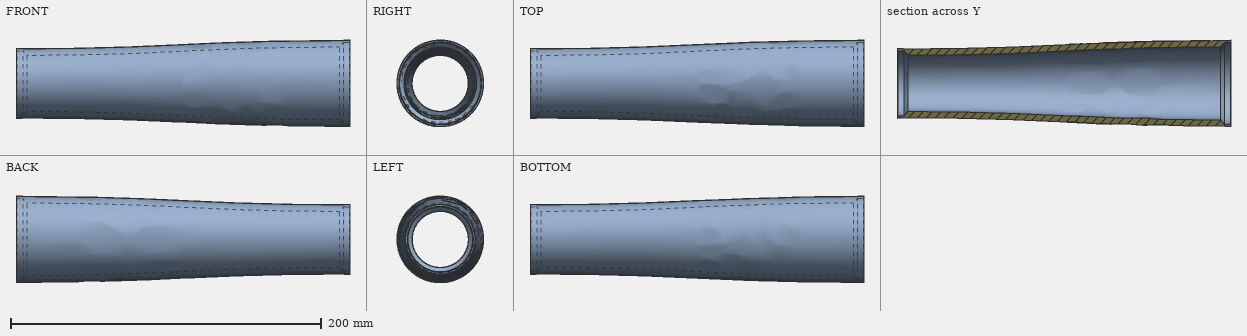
import cadquery as cq
import math

length = 215.0
small_radius = 22.4
large_radius = 27.7
wall = 4.3

collar_length = 3.5
bevel_length = 0.9
small_collar_radius = 22.5
large_collar_radius = 28.0

rim_width = 1.3
mouth_chamfer = 0.5
socket_depth = 4.3
cone_length = 2.5
land_length = 3.5

body_start = collar_length + bevel_length
body_end = length - body_start
land_start = socket_depth + cone_length
bore_inset = land_start + land_length


def s_curve(profile, start, end):
    """Add two equal tangent arcs that leave and arrive parallel to the axis."""
    run = (end[0] - start[0]) / 2
    rise = (end[1] - start[1]) / 2
    sweep = 2 * math.atan2(abs(rise), abs(run))
    half_run = abs(run) * math.sin(sweep / 2) / math.sin(sweep)
    half_rise = abs(rise) * (1 - math.cos(sweep / 2)) / (1 - math.cos(sweep))
    dx = math.copysign(half_run, run)
    dr = math.copysign(half_rise, rise)
    center = (start[0] + run, start[1] + rise)
    profile = profile.threePointArc((start[0] + dx, start[1] + dr), center)
    return profile.threePointArc((end[0] - dx, end[1] - dr), end)


def outer_body():
    profile = (
        cq.Workplane("XY")
        .moveTo(0, 0)
        .lineTo(0, small_collar_radius)
        .lineTo(collar_length, small_collar_radius)
        .lineTo(body_start, small_radius)
    )
    profile = s_curve(profile, (body_start, small_radius), (body_end, large_radius))
    profile = (
        profile.lineTo(length - collar_length, large_collar_radius)
        .lineTo(length, large_collar_radius)
        .lineTo(length, 0)
        .close()
    )
    return profile.revolve(360, (0, 0), (1, 0))


def inner_void():
    """Bore parallel to the outer wall, with a socket in each end."""
    small_socket = small_collar_radius - rim_width - mouth_chamfer
    large_socket = large_collar_radius - rim_width - mouth_chamfer
    bore_start = (bore_inset, small_radius - wall)
    bore_end = (length - bore_inset, large_radius - wall)
    profile = (
        cq.Workplane("XY")
        .moveTo(0, 0)
        .lineTo(0, small_socket + mouth_chamfer)
        .lineTo(mouth_chamfer, small_socket)
        .lineTo(socket_depth, small_socket)
        .lineTo(land_start, small_radius - wall)
        .lineTo(*bore_start)
    )
    profile = s_curve(profile, bore_start, bore_end)
    profile = (
        profile.lineTo(length - land_start, large_radius - wall)
        .lineTo(length - socket_depth, large_socket)
        .lineTo(length - mouth_chamfer, large_socket)
        .lineTo(length, large_socket + mouth_chamfer)
        .lineTo(length, 0)
        .close()
    )
    return profile.revolve(360, (0, 0), (1, 0))


result = outer_body().cut(inner_void())